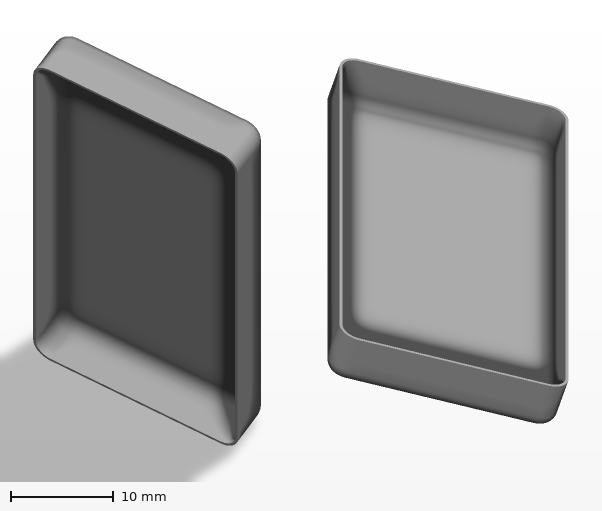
import cadquery as cq

width = 23.3
depth = 5.3
height = 47.3

wall = 0.3
corner_radius = 2.0
back_edge_radius = 1.3


def rounded_block(size_x, size_y, size_z, upright_radius, back_radius):
    """Block centred on X and Z with its open face at Y = 0, rounded at the corners and the +Y edge."""
    block = cq.Workplane("XY").box(size_x, size_y, size_z, centered=(True, False, True))
    block = block.edges("|Y").fillet(upright_radius)
    return block.faces(">Y").edges().fillet(back_radius)


outer_body = rounded_block(width, depth, height, corner_radius, back_edge_radius)

cavity = rounded_block(
    width - 2 * wall,
    depth - wall,
    height - 2 * wall,
    corner_radius - wall,
    back_edge_radius - wall,
)

result = outer_body.cut(cavity)